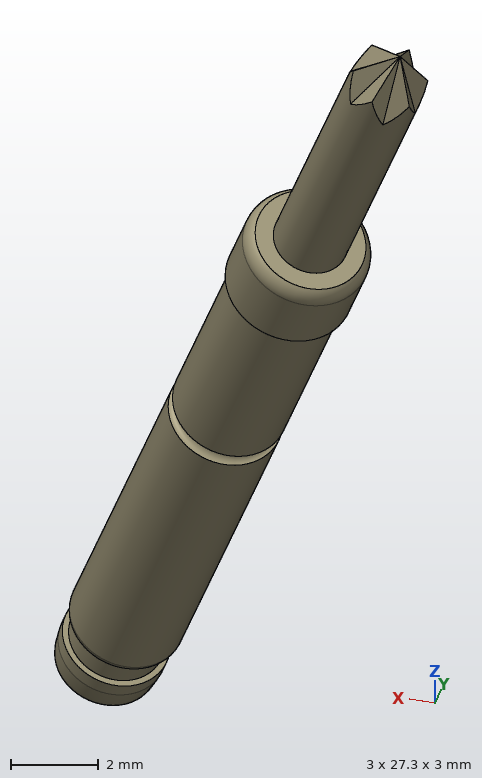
import cadquery as cq
import math


plunger_diameter = 1.75
tip_to_collar = 8.3
ridge_count = 6
ridge_half_angle = 45.0
valley_length = 1.6

collar_diameter = 3.0
collar_length = 2.0
collar_rounding_radius = 0.5
collar_rounding_length = 0.4

barrel_diameter = 2.7
barrel_length = 15.27
barrel_rounding = 0.25

groove_center_offset = 5.67
groove_radius = 0.2

neck_diameter = 2.25
neck_length = 0.73
head_diameter = 2.54
head_straight_length = 0.4
head_crown_length = 0.6
head_end_diameter = 2.4


def cylinder(diameter, y_front, length):
    """Cylinder on the Y axis running rearward from y_front."""
    return cq.Workplane("XZ", origin=(0, y_front, 0)).circle(diameter / 2).extrude(length)


def revolve_about_axis(profile):
    """Full turn of a closed XY profile about the Y axis."""
    return profile.revolve(360, (0, 0, 0), (0, 1, 0))


def make_star_tip(tip_y):
    """Pyramid with a star-shaped base; valleys reach the plunger surface at the base."""
    base_y = tip_y - valley_length
    ridge_radius = valley_length * math.tan(math.radians(ridge_half_angle))
    valley_radius = plunger_diameter / 2
    corner_count = 2 * ridge_count
    corners = []
    for i in range(corner_count):
        radius = ridge_radius if i % 2 == 0 else valley_radius
        angle = 2 * math.pi * i / corner_count
        corners.append(cq.Vector(radius * math.cos(angle), base_y, radius * math.sin(angle)))

    apex = cq.Vector(0, tip_y, 0)
    faces = [cq.Face.makeFromWires(cq.Wire.makePolygon(corners, close=True))]
    for i in range(corner_count):
        triangle = [corners[i - 1], corners[i], apex]
        faces.append(cq.Face.makeFromWires(cq.Wire.makePolygon(triangle, close=True)))
    return cq.Workplane(cq.Solid.makeSolid(cq.Shell.makeShell(faces)))


def make_plunger():
    tip_y = collar_length + tip_to_collar
    shaft_front = tip_y - valley_length
    envelope = cylinder(plunger_diameter, tip_y, valley_length)
    tip = make_star_tip(tip_y).intersect(envelope)
    return cylinder(plunger_diameter, shaft_front, shaft_front).union(tip)


def make_collar():
    """Collar whose front rim is an arc, tangent to the side and meeting the front face at an angle."""
    outer_radius = collar_diameter / 2
    arc_center_x = outer_radius - collar_rounding_radius
    arc_start_y = collar_length - collar_rounding_length
    arc_angle = math.asin(collar_rounding_length / collar_rounding_radius)

    def arc_point(angle):
        x = arc_center_x + collar_rounding_radius * math.cos(angle)
        y = arc_start_y + collar_rounding_radius * math.sin(angle)
        return (x, y)

    profile = (
        cq.Workplane("XY")
        .moveTo(0, 0)
        .lineTo(outer_radius, 0)
        .lineTo(outer_radius, arc_start_y)
        .threePointArc(arc_point(arc_angle / 2), arc_point(arc_angle))
        .lineTo(0, collar_length)
        .close()
    )
    return revolve_about_axis(profile)


def make_groove_ring():
    """Torus centered on the barrel surface."""
    torus = cq.Solid.makeTorus(
        barrel_diameter / 2,
        groove_radius,
        cq.Vector(0, -groove_center_offset, 0),
        cq.Vector(0, 1, 0),
    )
    return cq.Workplane(torus)


def make_barrel():
    barrel = cylinder(barrel_diameter, 0, barrel_length)
    return barrel.faces("<Y").edges().fillet(barrel_rounding).cut(make_groove_ring())


def make_terminal():
    """Neck followed by a head whose side curves gently inward toward the rear end."""
    head_radius = head_diameter / 2
    end_radius = head_end_diameter / 2
    head_y = -barrel_length - neck_length
    crown_y = head_y - head_straight_length
    end_y = crown_y - head_crown_length
    profile = (
        cq.Workplane("XY")
        .moveTo(0, head_y)
        .lineTo(head_radius, head_y)
        .lineTo(head_radius, crown_y)
        .tangentArcPoint((end_radius, end_y), relative=False)
        .lineTo(0, end_y)
        .close()
    )
    return cylinder(neck_diameter, -barrel_length, neck_length).union(revolve_about_axis(profile))


result = make_plunger().union(make_collar()).union(make_barrel()).union(make_terminal())